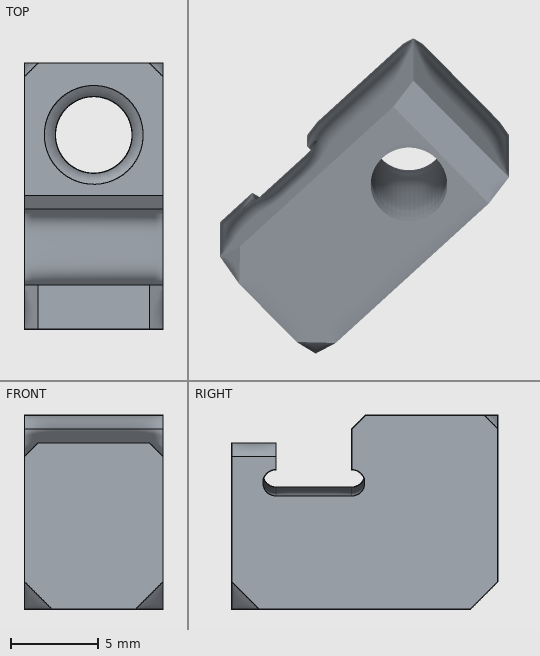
import cadquery as cq
import math

width = 7.94
length = 15.24
height = 11.11

jaw_thickness = 2.55
jaw_height = 9.52
slot_width = 4.33
slot_back = jaw_thickness + slot_width
slot_floor = 7.0
floor_slope = 3.7
relief_radius = 0.75

top_chamfer = 0.8
base_chamfer = 1.58

hole_diameter = 4.37
countersink_diameter = 5.65
countersink_angle = 90.0
hole_y = 11.13

half_width = width / 2


def side_profile():
    """Block outline in the YZ plane, with the raised rear and base chamfer."""
    points = [
        (0, 0),
        (length - base_chamfer, 0),
        (length, base_chamfer),
        (length, height),
        (slot_back + top_chamfer, height),
        (slot_back, height - top_chamfer),
        (slot_back, jaw_height),
        (0, jaw_height),
    ]
    return cq.Workplane("YZ", origin=(-half_width, 0, 0)).polyline(points).close().extrude(width)


def slot_cutter():
    """Slot with round corner reliefs, swept along X on a falling axis."""
    slope = math.radians(floor_slope)
    run = (math.cos(slope), 0, -math.sin(slope))
    plane = cq.Plane(origin=(-half_width, 0, slot_floor), xDir=(0, 1, 0), normal=run)
    sketch = cq.Workplane(plane)
    overrun = width / 2
    sweep_length = width + 2 * overrun
    start = -overrun
    slot_middle = (jaw_thickness + slot_back) / 2
    cutter = (
        sketch.workplane(offset=start)
        .center(slot_middle, height / 2)
        .rect(slot_width, height)
        .extrude(sweep_length)
    )
    reliefs = (
        sketch.workplane(offset=start)
        .pushPoints([(jaw_thickness, relief_radius), (slot_back, relief_radius)])
        .circle(relief_radius)
        .extrude(sweep_length)
    )
    return cutter.union(reliefs)


def corner_cut(corner, inward, leg):
    """Tetrahedron that trims a block corner by equal legs along X, Y and Z."""
    tip = cq.Vector(*corner)
    step_x = cq.Vector(inward[0] * leg, 0, 0)
    step_y = cq.Vector(0, inward[1] * leg, 0)
    step_z = cq.Vector(0, 0, inward[2] * leg)
    vertices = [tip, tip + step_x, tip + step_y, tip + step_z]
    faces = []
    for skipped in vertices:
        triangle = [vertex for vertex in vertices if vertex is not skipped]
        faces.append(cq.Face.makeFromWires(cq.Wire.makePolygon(triangle, close=True)))
    return cq.Workplane(cq.Solid.makeSolid(cq.Shell.makeShell(faces)))


def jaw_edge_cut(side):
    """Triangular prism that chamfers one upper side edge of the jaw."""
    edge_x = side * half_width
    points = [
        (edge_x, jaw_height),
        (edge_x - side * top_chamfer, jaw_height),
        (edge_x, jaw_height - top_chamfer),
    ]
    return cq.Workplane("XZ").polyline(points).close().extrude(-jaw_thickness)


result = side_profile().cut(slot_cutter())

for side in (-1, 1):
    result = result.cut(jaw_edge_cut(side))
    result = result.cut(corner_cut((side * half_width, 0, 0), (-side, 1, 1), base_chamfer))
    result = result.cut(corner_cut((side * half_width, length, height), (-side, -1, -1), top_chamfer))

result = (
    result.faces(">Z")
    .workplane(origin=(0, hole_y, height))
    .cskHole(hole_diameter, countersink_diameter, countersink_angle)
)